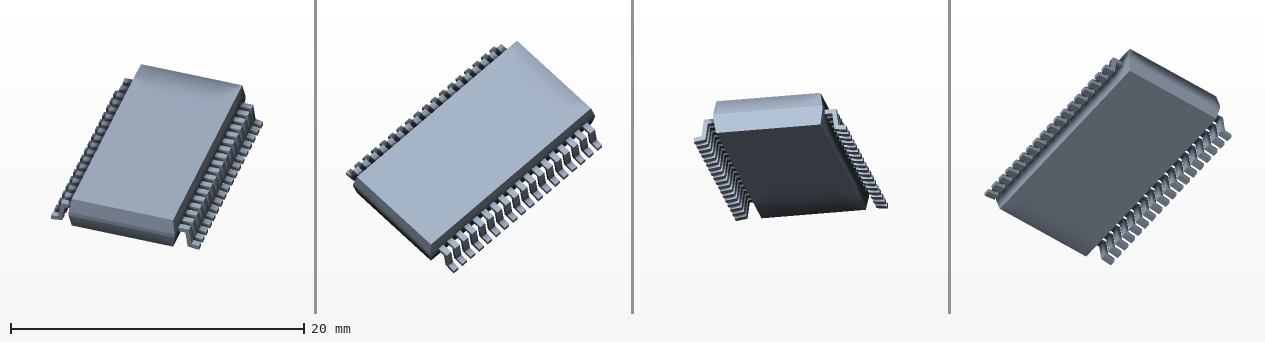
import cadquery as cq
import math

body_width = 7.6
body_length = 15.55
belt_height = 0.31
upper_height = 1.04
lower_height = 1.0
side_inset = 0.17
end_inset = 0.2
standoff = 0.3

leads_per_side = 18
lead_row_span = 13.6
lead_width = 0.44
lead_thickness = belt_height
lead_tip_span = 10.6
foot_length = 0.81
lead_tilt = math.radians(8)

lead_pitch = lead_row_span / (leads_per_side - 1)
belt_bottom = standoff + lower_height
belt_top = belt_bottom + belt_height


def tapered_half(belt_face, height):
    """Frustum from the belt outline to the smaller end face; negative height points down."""
    return (
        cq.Workplane("XY", origin=(0, 0, belt_face))
        .rect(body_width, body_length)
        .workplane(offset=height)
        .rect(body_width - 2 * side_inset, body_length - 2 * end_inset)
        .loft(ruled=True)
    )


def make_body():
    belt = (
        cq.Workplane("XY", origin=(0, 0, belt_bottom))
        .rect(body_width, body_length)
        .extrude(belt_height)
    )
    upper = tapered_half(belt_top, upper_height)
    lower = tapered_half(belt_bottom, -lower_height)
    return belt.union(upper).union(lower)


def make_lead():
    """One lead on the -X side, centred on Y = 0, its foot and leg tilted by the same angle."""
    slope = math.tan(lead_tilt)
    slant_thickness = lead_thickness / math.cos(lead_tilt)
    tip_x = -lead_tip_span / 2
    heel_x = tip_x + foot_length
    heel_z = foot_length * slope
    inner_shoulder_x = heel_x + (belt_bottom - heel_z) * slope
    outer_shoulder_x = heel_x + (belt_top - heel_z) * slope - slant_thickness
    knee_offset = slant_thickness / (1 + slope)
    root_x = -body_width / 2

    profile = [
        (tip_x, 0),
        (heel_x, heel_z),
        (inner_shoulder_x, belt_bottom),
        (root_x, belt_bottom),
        (root_x, belt_top),
        (outer_shoulder_x, belt_top),
        (heel_x - knee_offset, heel_z + knee_offset),
        (tip_x, slant_thickness),
    ]
    return cq.Workplane("XZ").polyline(profile).close().extrude(lead_width / 2, both=True)


result = make_body()
left_lead = make_lead()
right_lead = left_lead.mirror("YZ")
for index in range(leads_per_side):
    lead_y = index * lead_pitch - lead_row_span / 2
    for lead in (left_lead, right_lead):
        result = result.union(lead.translate((0, lead_y, 0)))